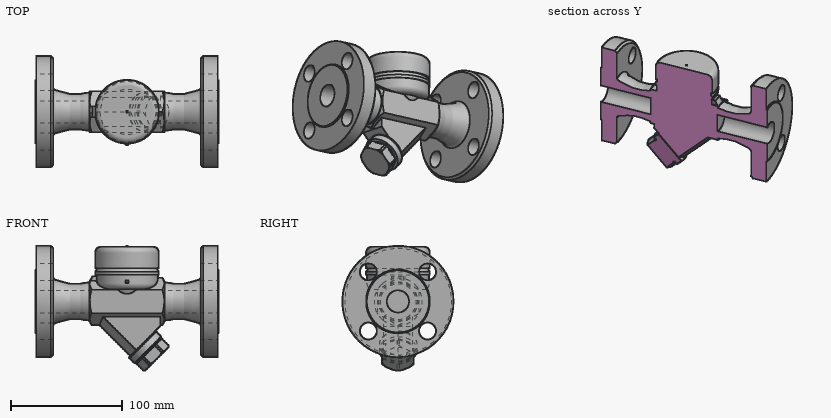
import cadquery as cq
import math

half_length = 82.5

flange_radius = 50.0
raised_face_radius = 28.7
raised_face_tip_radius = 27.9
raised_face_height = 1.0
flange_back_x = 66.2
flange_chamfer = 2.1
bolt_hole_diameter = 15.0
bolt_circle_diameter = 75.0
bolt_count = 4
first_bolt_angle = 45.0
bore_diameter = 20.0
bore_depth = 49.5

hub_root_radius = 21.5
hub_root_fillet = 3.3
hub_radius = 19.3
hub_x = 63.5
pipe_radius = 16.0
pipe_outer_x = 51.2
pipe_inner_x = 41.5
collar_radius = 17.2
collar_x = 34.2

block_flats = 37.0
block_half_length = 33.8
block_end_radius = 17.7
block_end_angle = 60.0

cap_radius = 28.7
cap_top_z = 49.2
cap_fillet = 5.5
cap_bottom_z = 29.9
groove_radius = 27.2
rim_top_z = 26.5
rim_bottom_z = 23.8
bowl_radius = 27.9
bowl_fillet_top_z = 16.2
bowl_fillet = 5.5
bowl_foot_radius = 20.3
bowl_base_radius = 18.2
bowl_base_z = 6.0
cap_nub_radius = 0.8
side_nub_diameter = 3.0
side_nub_y = -28.7
side_nub_z = 17.7

lug_width = 9.7
lug_top_z = 22.8
lug_base_z = 13.2
lug_flare = 2.6
lug_flare_x = -26.7

leg_flats = 26.0
leg_axis_x = -24.8
leg_start = 9.9
leg_seat_distance = 54.3
web_end_x = 29.9

seat_thickness = 0.8
plug_collar_diameter = 34.0
plug_collar_length = 6.5
plug_relief_diameter = 27.7
plug_relief_length = 1.5
plug_hex_flats = 28.7
plug_hex_corner_diameter = 32.0
plug_head_length = 9.9
plug_head_chamfer = 1.2


def hexagon(plane, flats):
    """Hexagon with two flats facing +Y and -Y; the plane's x direction must be normal to Y."""
    return cq.Workplane(plane).polygon(6, flats / math.cos(math.pi / 6))


x_axis_plane = cq.Plane(origin=(0, 0, 0), xDir=(0, 0, 1), normal=(1, 0, 0))


def collar_arc_radius():
    """Radius of the arc that leaves the collar tangentially and drops to the pipe."""
    run = pipe_inner_x - collar_x
    drop = collar_radius - pipe_radius
    return (run**2 + drop**2) / (2 * drop)


def make_flanged_neck():
    """Revolved +X half of the run: pipe collar, pipe, hub and flange."""
    flange_face_x = half_length - raised_face_height
    profile = (
        cq.Workplane("XY")
        .moveTo(0, 0)
        .lineTo(0, collar_radius)
        .lineTo(collar_x, collar_radius)
        .radiusArc((pipe_inner_x, pipe_radius), collar_arc_radius())
        .lineTo(pipe_outer_x, pipe_radius)
        .lineTo(hub_x, hub_radius)
        .radiusArc((flange_back_x, hub_root_radius), -hub_root_fillet)
        .lineTo(flange_back_x, flange_radius - flange_chamfer)
        .lineTo(flange_back_x + flange_chamfer, flange_radius)
        .lineTo(flange_face_x, flange_radius)
        .lineTo(flange_face_x, raised_face_radius)
        .lineTo(half_length, raised_face_tip_radius)
        .lineTo(half_length, 0)
        .close()
    )
    return profile.revolve(360, (0, 0, 0), (1, 0, 0))


def make_run():
    neck = make_flanged_neck()
    return neck.union(neck.mirror("YZ"))


def make_lug():
    half_width = lug_width / 2
    flare_start_x = lug_flare_x - lug_flare
    flare_width = half_width + lug_flare
    return (
        cq.Workplane("XY")
        .workplane(offset=lug_base_z)
        .moveTo(-block_half_length, -half_width)
        .lineTo(flare_start_x, -half_width)
        .radiusArc((lug_flare_x, -flare_width), lug_flare)
        .lineTo(0, -flare_width)
        .lineTo(0, flare_width)
        .lineTo(lug_flare_x, flare_width)
        .radiusArc((flare_start_x, half_width), lug_flare)
        .lineTo(-block_half_length, half_width)
        .close()
        .extrude(lug_top_z - lug_base_z)
    )


def make_block():
    """Hexagonal bar and lug, both trimmed by a cone at each end."""
    bar = hexagon(x_axis_plane, block_flats).extrude(block_half_length, both=True)
    middle_radius = block_end_radius + block_half_length * math.tan(math.radians(block_end_angle))
    double_cone = (
        cq.Workplane("XY")
        .moveTo(-block_half_length, 0)
        .lineTo(-block_half_length, block_end_radius)
        .lineTo(0, middle_radius)
        .lineTo(block_half_length, block_end_radius)
        .lineTo(block_half_length, 0)
        .close()
        .revolve(360, (0, 0, 0), (1, 0, 0))
    )
    return bar.union(make_lug()).intersect(double_cone)


def groove_arc_radius():
    """Radius of the concave arc that is upright under the cap and flares out to the rim."""
    height = cap_bottom_z - rim_top_z
    flare = cap_radius - groove_radius
    return (height**2 + flare**2) / (2 * flare)


def make_chamber():
    """Cap, groove, rim and bowl as one turned shape about Z."""
    bowl_bottom_z = bowl_fillet_top_z - bowl_fillet
    turned = (
        cq.Workplane("XZ")
        .moveTo(0, bowl_base_z)
        .lineTo(bowl_base_radius, bowl_base_z)
        .lineTo(bowl_foot_radius, bowl_bottom_z)
        .lineTo(bowl_radius - bowl_fillet, bowl_bottom_z)
        .radiusArc((bowl_radius, bowl_fillet_top_z), -bowl_fillet)
        .lineTo(bowl_radius, rim_bottom_z)
        .lineTo(cap_radius, rim_bottom_z)
        .lineTo(cap_radius, rim_top_z)
        .radiusArc((groove_radius, cap_bottom_z), groove_arc_radius())
        .lineTo(cap_radius, cap_bottom_z)
        .lineTo(cap_radius, cap_top_z - cap_fillet)
        .radiusArc((cap_radius - cap_fillet, cap_top_z), -cap_fillet)
        .lineTo(0, cap_top_z)
        .close()
        .revolve(360, (0, 0, 0), (0, 1, 0))
    )
    cap_nub = cq.Workplane("XY").sphere(cap_nub_radius).translate((0, 0, cap_top_z))
    side_nub = cq.Workplane("XY").sphere(side_nub_diameter / 2).translate((0, side_nub_y, side_nub_z))
    return turned.union(cap_nub).union(side_nub)


def leg_point(distance):
    """Point on the leg axis, measured from where the axis crosses z = 0."""
    step = distance / math.sqrt(2)
    return (leg_axis_x + step, 0, -step)


def leg_plane(distance):
    """Plane across the leg axis, facing down the leg."""
    return cq.Plane(origin=leg_point(distance), xDir=(1, 0, 1), normal=(1, 0, -1))


def leg_disc(distance, diameter, length):
    """Cylinder on the leg axis that starts at the given distance."""
    return cq.Workplane(leg_plane(distance)).circle(diameter / 2).extrude(length)


def make_leg():
    """Hexagonal leg, the web that fills its inner corner, and the round plug seat."""
    shank = hexagon(leg_plane(leg_start), leg_flats).extrude(leg_seat_distance - leg_start)
    seat_x, _, seat_z = leg_point(leg_seat_distance)
    web_corner_z = seat_z + web_end_x - seat_x
    start_x, _, start_z = leg_point(leg_start)
    web = (
        cq.Workplane("XZ")
        .polyline([(start_x, start_z), (seat_x, seat_z), (web_end_x, web_corner_z), (web_end_x, start_z)])
        .close()
        .extrude(leg_flats / 2, both=True)
    )
    seat = leg_disc(leg_seat_distance, plug_collar_diameter, seat_thickness)
    return shank.union(web).union(seat)


def cut_flange_holes(body):
    bolt_holes = (
        cq.Workplane("YZ")
        .workplane(offset=-half_length)
        .polarArray(bolt_circle_diameter / 2, first_bolt_angle, 360, bolt_count)
        .circle(bolt_hole_diameter / 2)
        .extrude(2 * half_length - 2 * flange_back_x)
    )
    bore = cq.Workplane("YZ").workplane(offset=-half_length).circle(bore_diameter / 2).extrude(bore_depth)
    inlet_holes = bolt_holes.union(bore)
    return body.cut(inlet_holes).cut(inlet_holes.mirror("YZ"))


def make_valve_body():
    body = make_run().union(make_block()).union(make_chamber()).union(make_leg())
    return cut_flange_holes(body)


def make_plug():
    collar_start = leg_seat_distance + seat_thickness
    relief_start = collar_start + plug_collar_length
    head_start = relief_start + plug_relief_length
    collar = leg_disc(collar_start, plug_collar_diameter, plug_collar_length)
    relief = leg_disc(relief_start, plug_relief_diameter, plug_relief_length)
    rounding = (
        leg_disc(head_start, plug_hex_corner_diameter, plug_head_length)
        .faces(cq.selectors.DirectionMinMaxSelector(cq.Vector(1, 0, -1)))
        .chamfer(plug_head_chamfer)
    )
    head = hexagon(leg_plane(head_start), plug_hex_flats).extrude(plug_head_length).intersect(rounding)
    return collar.union(relief).union(head)


valve_body = make_valve_body()
plug = make_plug()
result = cq.Compound.makeCompound([valve_body.solids().val(), plug.solids().val()])